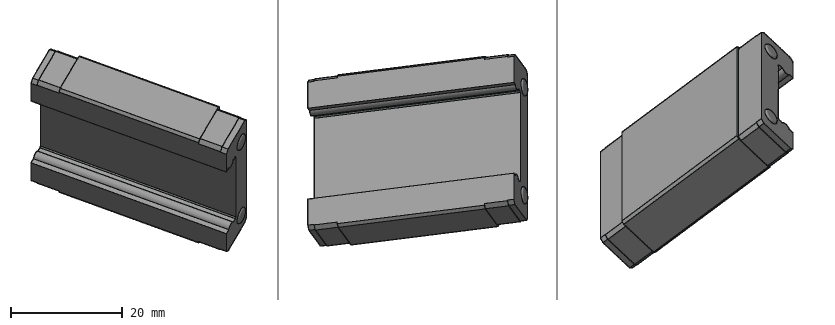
import cadquery as cq

overall_length = 39.3
pin_protrusion = 0.4
end_plate_thickness = 1.18
block_length = 27.5
body_length = overall_length - 2 * pin_protrusion
cap_length = body_length - 2 * end_plate_thickness

block_height = 30.0
block_depth = 9.0
block_chamfer = 0.5
cap_step = 0.1
cap_height = block_height - 2 * cap_step
cap_depth = 8.6
cap_chamfer = 0.7
plate_step = 0.1
plate_height = cap_height - 2 * plate_step
plate_chamfer = 0.7

channel_depth = 4.0
channel_width = 17.85
channel_chamfer = 0.25

bead_from_front = 1.95
bead_width = 1.9
bead_height = 0.6

pin_radius = 1.57
pin_edge_fillet = 0.35
pin_from_front = 6.1
pin_spacing = 21.22


def chamfered_bar(length, depth, height, chamfer):
    """Bar along X with its front face at Y = 0 and its four long edges chamfered."""
    bar = cq.Workplane("XY").box(length, depth, height, centered=(True, False, True))
    return bar.edges("|X").chamfer(chamfer)


def rail_channel():
    """Channel cutter with chamfered floor corners and a notch for the bead in each wall."""
    half_width = channel_width / 2
    bead_start = bead_from_front - bead_width / 2
    bead_end = bead_from_front + bead_width / 2
    bead_crest = half_width - bead_height
    outline = (
        cq.Workplane("YZ", origin=(-body_length / 2, 0, 0))
        .moveTo(0, -half_width)
        .lineTo(bead_start, -half_width)
        .threePointArc((bead_from_front, -bead_crest), (bead_end, -half_width))
        .lineTo(channel_depth, -half_width)
        .lineTo(channel_depth, half_width)
        .lineTo(bead_end, half_width)
        .threePointArc((bead_from_front, bead_crest), (bead_start, half_width))
        .lineTo(0, half_width)
        .close()
    )
    channel = outline.extrude(body_length)
    return channel.faces(">Y").edges("|X").chamfer(channel_chamfer)


def pin(z):
    """Pin through the full length, rounded at both exposed ends."""
    return (
        cq.Workplane("YZ", origin=(-overall_length / 2, pin_from_front, z))
        .circle(pin_radius)
        .extrude(overall_length)
        .edges()
        .fillet(pin_edge_fillet)
    )


block = chamfered_bar(block_length, block_depth, block_height, block_chamfer)
caps = chamfered_bar(cap_length, cap_depth, cap_height, cap_chamfer)
end_plates = chamfered_bar(body_length, cap_depth, plate_height, plate_chamfer)

result = block.union(caps).union(end_plates).cut(rail_channel())
for side in (-1, 1):
    result = result.union(pin(side * pin_spacing / 2))